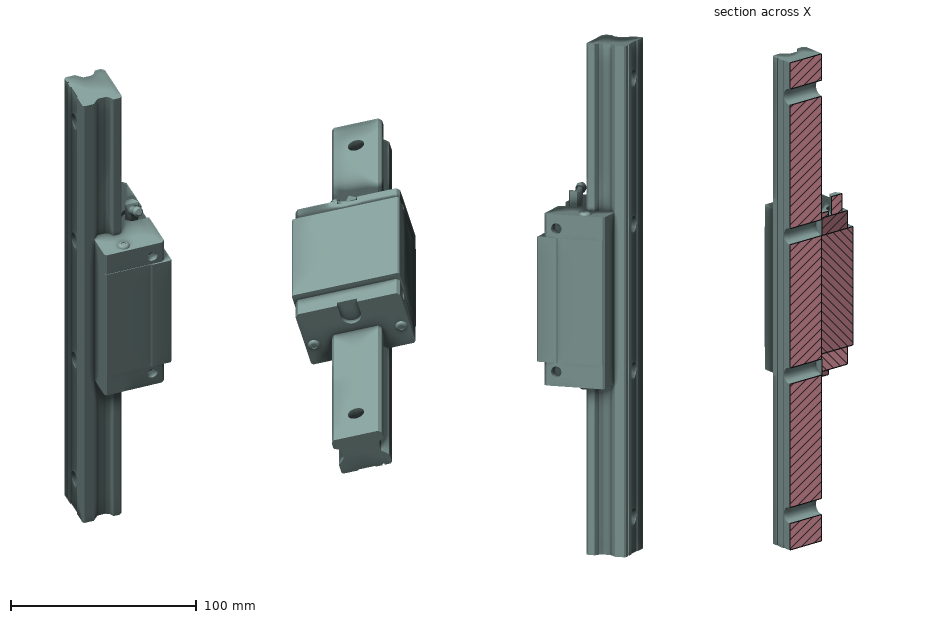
import cadquery as cq
import math


rail_length = 280.0
rail_half_width = 14.0
rail_height = 23.0
waist_half_width = 10.5
lower_flank_bottom = 6.2
waist_bottom = 9.8
waist_top = 14.3
upper_flank_top = 17.5
upper_flank_kink_half_width = 11.5
upper_flank_kink = 16.2
rail_top_chamfer = 1.7
rail_base_chamfer = 0.8
rail_crest_radius = 1.0

relief_half_width = 4.8
relief_depth = 0.5
mark_center_x = -9.2
mark_width = 1.0
mark_depth = 0.8
hole_diameter = 9.0
hole_count = 4
hole_pitch = 80.0

carriage_center_z = 1.5
carriage_bottom = 6.7

block_length = 68.3
block_half_width = 30.0
block_top = 45.0
block_top_chamfer = 0.8
block_step_top = 34.0
block_step_width = 0.5
block_step_height = 0.8
block_bottom_chamfer = 1.0

cap_thickness = 10.0
cap_half_width = 29.0
cap_bottom_chamfer = 1.0
cap_top = 41.5
cap_top_chamfer = 1.7
port_diameter = 6.0
port_depth = 5.5
port_center_y = 34.2

seal_thickness = 2.8
screw_center_x = 24.5
screw_center_y = 19.3
screw_radius = 3.5
screw_head_height = 1.5
socket_radius = 1.5
socket_depth = 0.5

nipple_center_y = 33.5
slot_radius = 5.5
hex_across_corners = 7.8
hex_height_above_seal = 7.8
bevel_start_x = 0.3
nozzle_elevation = 30.0
nozzle_root_height = 3.0
cone_base_radius = 2.8
neck_radius = 2.0
head_radius = 2.8
tip_radius = 1.7
cone_end = 7.5
head_start = 8.5
head_end = 10.5
nozzle_length = 12.3

block_end = block_length / 2
rail_width = 2 * rail_half_width
cap_end = block_end + cap_thickness
seal_end = cap_end + seal_thickness


def extrude_along_z(sketch, length):
    """Extrude a closed XY outline evenly to both sides of Z = 0."""
    return sketch.extrude(length / 2, both=True)


def mirrored_outline(right_side):
    """Close an outline from its +X points, listed from the bottom to the top."""
    left_side = [(-x, y) for x, y in reversed(right_side)]
    return cq.Workplane("XY").polyline(right_side + left_side).close()


def rail_blank(length):
    """Rail profile without grooves and holes; also the cutter for the carriage channel."""
    right_side = [
        (rail_half_width - rail_base_chamfer, 0),
        (rail_half_width, rail_base_chamfer),
        (rail_half_width, lower_flank_bottom),
        (waist_half_width, waist_bottom),
        (waist_half_width, waist_top),
        (upper_flank_kink_half_width, upper_flank_kink),
        (rail_half_width, upper_flank_top),
        (rail_half_width, rail_height - rail_top_chamfer),
        (rail_half_width - rail_top_chamfer, rail_height),
    ]
    blank = extrude_along_z(mirrored_outline(right_side), length)
    crest_y = rail_height - rail_top_chamfer
    crests = cq.selectors.BoxSelector(
        (-rail_width, crest_y - rail_top_chamfer / 2, -length),
        (rail_width, crest_y + rail_top_chamfer / 2, length),
    )
    return blank.edges("|Z").edges(crests).fillet(rail_crest_radius)


def base_groove(center_x, width, depth):
    """Cutter for a groove along the rail base."""
    return cq.Workplane("XY").box(width, 2 * depth, rail_length).translate((center_x, 0, 0))


def make_rail():
    rail = rail_blank(rail_length)
    rail = rail.cut(base_groove(0, 2 * relief_half_width, relief_depth))
    rail = rail.cut(base_groove(mark_center_x, mark_width, mark_depth))
    holes = (
        cq.Workplane("XZ")
        .rarray(2.8, hole_pitch, 1, hole_count)
        .circle(hole_diameter / 2)
        .extrude(-rail_height)
    )
    return rail.cut(holes)


def make_block():
    lower_half_width = block_half_width - block_step_width
    right_side = [
        (lower_half_width - block_bottom_chamfer, carriage_bottom),
        (lower_half_width, carriage_bottom + block_bottom_chamfer),
        (lower_half_width, block_step_top - block_step_height),
        (block_half_width, block_step_top),
        (block_half_width, block_top - block_top_chamfer),
        (block_half_width - block_top_chamfer, block_top),
    ]
    block = extrude_along_z(mirrored_outline(right_side), block_length)
    return block.cut(rail_blank(block_length))


def end_plate(start_z, thickness):
    """Plate with the outline shared by caps and seals, with its channel for the rail."""
    right_side = [
        (cap_half_width - cap_bottom_chamfer, carriage_bottom),
        (cap_half_width, carriage_bottom + cap_bottom_chamfer),
        (cap_half_width, cap_top - cap_top_chamfer),
        (cap_half_width - cap_top_chamfer, cap_top),
    ]
    plate = mirrored_outline(right_side).extrude(thickness).translate((0, 0, start_z))
    return plate.cut(rail_blank(rail_length))


def make_cap():
    """Upper end cap with a blind port in each side face."""
    cap = end_plate(block_end, cap_thickness)
    port_z = block_end + cap_thickness / 2
    for side in (-1, 1):
        port = (
            cq.Workplane("YZ")
            .center(port_center_y, port_z)
            .circle(port_diameter / 2)
            .extrude(-side * port_depth)
            .translate((side * cap_half_width, 0, 0))
        )
        cap = cap.cut(port)
    return cap


def screw_head():
    """Domed screw head with a socket, standing on Z = 0."""
    diagonal = math.sqrt(0.5)
    mid_radius = socket_radius + (screw_radius - socket_radius) * diagonal
    mid_height = screw_head_height * diagonal
    return (
        cq.Workplane("XZ")
        .moveTo(0, 0)
        .lineTo(screw_radius, 0)
        .threePointArc((mid_radius, mid_height), (socket_radius, screw_head_height))
        .lineTo(socket_radius, screw_head_height - socket_depth)
        .lineTo(0, screw_head_height - socket_depth)
        .close()
        .revolve(360, (0, 0, 0), (0, 1, 0))
    )


def make_seal():
    """Upper end seal: a plate with a nipple slot open at the top and two screw heads."""
    seal = end_plate(cap_end, seal_thickness)
    slot = (
        cq.Workplane("XY", origin=(0, nipple_center_y, cap_end))
        .moveTo(-slot_radius, block_top - nipple_center_y)
        .lineTo(-slot_radius, 0)
        .threePointArc((0, -slot_radius), (slot_radius, 0))
        .lineTo(slot_radius, block_top - nipple_center_y)
        .close()
        .extrude(seal_thickness)
    )
    seal = seal.cut(slot)
    for side in (-1, 1):
        seal = seal.union(screw_head().translate((side * screw_center_x, screw_center_y, seal_end)))
    return seal


def make_nipple():
    """Hexagonal post with a bevelled top and a nozzle rising towards +X."""
    hex_height = seal_thickness + hex_height_above_seal
    post = (
        cq.Workplane("XY")
        .polygon(6, hex_across_corners)
        .extrude(hex_height)
        .rotate((0, 0, 0), (0, 0, 1), 90)
    )
    tilt = 90 - nozzle_elevation
    bevel = (
        cq.Workplane("XY")
        .box(2 * hex_height, 2 * hex_height, hex_height, centered=(True, True, False))
        .rotate((0, 0, 0), (0, 1, 0), tilt)
        .translate((bevel_start_x, 0, hex_height))
    )
    nozzle = (
        cq.Workplane("XZ")
        .polyline(
            [
                (0, 0),
                (cone_base_radius, 0),
                (cone_base_radius, nozzle_root_height),
                (neck_radius, cone_end),
                (neck_radius, head_start),
                (head_radius, head_start),
                (head_radius, head_end),
                (tip_radius, nozzle_length),
                (0, nozzle_length),
            ]
        )
        .close()
        .revolve(360, (0, 0, 0), (0, 1, 0))
        .rotate((0, 0, 0), (0, 1, 0), tilt)
        .translate((0, 0, seal_thickness + nozzle_root_height))
    )
    return post.cut(bevel).union(nozzle).translate((0, nipple_center_y, cap_end))


def on_carriage(body):
    """Move a body from the carriage's own middle to its place along the rail."""
    return body.translate((0, 0, carriage_center_z))


rail = make_rail()
block = on_carriage(make_block())
caps = [on_carriage(cap) for cap in (make_cap(), make_cap().mirror("XY"))]
seals = [on_carriage(seal) for seal in (make_seal(), make_seal().mirror("XY"))]
nipple = on_carriage(make_nipple())

result = cq.Compound.makeCompound(
    [
        rail.val(),
        block.val(),
        *[cap.val() for cap in caps],
        *[seal.val() for seal in seals],
        nipple.val(),
    ]
)